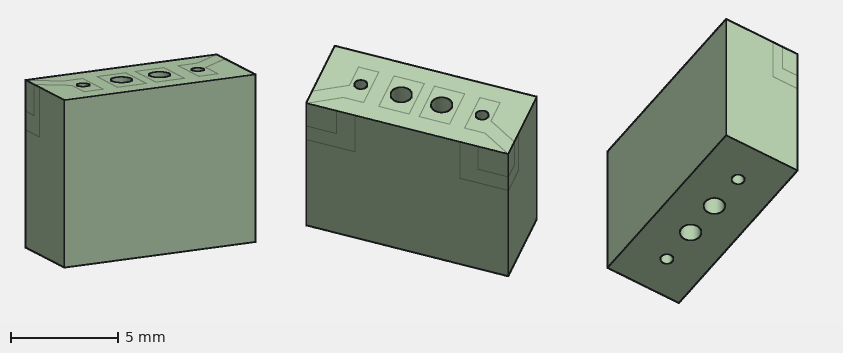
import cadquery as cq

width = 4.0
length = 10.0
height = 8.1

large_hole_diameter = 1.0
large_hole_y = 1.0
small_hole_diameter = 0.6
small_hole_y = 3.0

pad_width = 2.12
large_pad_length = 1.5
small_pad_length = 1.0

track_width = 0.85
band_inner_depth = 1.5
band_outer_depth = 2.4
band_inner_length = 1.5
band_outer_length = 2.4
band_outer_width = 1.4

left_x = -width / 2
end_y = length / 2


def flat_face(points):
    """Flat face bounded by straight lines through 3D points."""
    return cq.Face.makeFromWires(cq.Wire.makePolygon(points, close=True))


def drilled_block():
    block = cq.Workplane("XY").box(width, length, height, centered=(True, True, False))
    for diameter, hole_y in ((large_hole_diameter, large_hole_y), (small_hole_diameter, small_hole_y)):
        block = (
            block.faces(">Z")
            .workplane(origin=(0, 0, height))
            .pushPoints([(0, hole_y), (0, -hole_y)])
            .hole(diameter)
        )
    return block


def large_pad(side):
    """Rectangular pad around a large hole; side is +1 or -1 along Y."""
    half_width = pad_width / 2
    near_y = large_hole_y - large_pad_length / 2
    far_y = large_hole_y + large_pad_length / 2
    outline = [(-half_width, near_y), (half_width, near_y), (half_width, far_y), (-half_width, far_y)]
    return flat_face([(x, side * y, height) for x, y in outline])


def small_pad_with_track(side):
    """Pad around a small hole, joined to the block's corner by a slanted track."""
    half_width = pad_width / 2
    near_y = small_hole_y - small_pad_length / 2
    far_y = small_hole_y + small_pad_length / 2
    outline = [
        (-half_width, near_y),
        (half_width, near_y),
        (half_width, far_y),
        (-half_width + track_width, far_y),
        (left_x + track_width, end_y),
        (left_x, end_y),
        (-half_width, far_y),
    ]
    return flat_face([(x, side * y, height) for x, y in outline])


def corner_band_outline(inner_reach, outer_reach):
    """L-shaped band as (distance from the corner edge, distance below the top)."""
    return [
        (inner_reach, 0),
        (outer_reach, 0),
        (outer_reach, band_outer_depth),
        (0, band_outer_depth),
        (0, band_inner_depth),
        (inner_reach, band_inner_depth),
    ]


def long_side_band(side):
    outline = corner_band_outline(band_inner_length, band_outer_length)
    return flat_face([(left_x, side * (end_y - reach), height - depth) for reach, depth in outline])


def end_band(side):
    outline = corner_band_outline(track_width, band_outer_width)
    return flat_face([(left_x + reach, side * end_y, height - depth) for reach, depth in outline])


surface_regions = [
    make_region(side)
    for side in (1, -1)
    for make_region in (large_pad, small_pad_with_track, long_side_band, end_band)
]
divided_block = drilled_block().val().split(*surface_regions)
result = cq.Workplane(divided_block.Solids()[0])